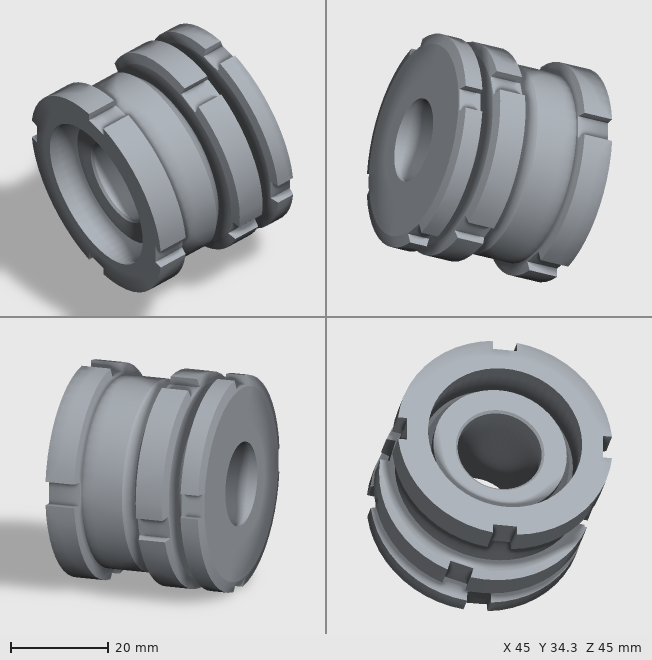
import cadquery as cq
import math


rim_radius = 22.5
slot_floor_radius = 20.45
slot_width = 5.0
slot_count = 4
rim_bevel_angle = 15.0
bevel_inner_radius = 20.25
total_length = 34.3
thread_radius = 15.0

sleeve_length = 18.0
sleeve_flange_length = 7.0
sleeve_radius = 20.0
sleeve_end_chamfer = 2.02
recess_radius = 16.1
recess_depth = 10.0
thread_mouth_chamfer = 0.25

nut_start = 19.45
nut_length = 7.0
nut_turn = 14.9

screw_start = 5.45
screw_head_length = 5.05
screw_turn = -0.75
screw_tip_chamfer = 1.05
screw_tip_length = 2.0
neck_radius = 13.75
neck_length = 1.15
neck_cone_radius = 14.1
neck_cone_length = 0.5
bore_radius = 8.75
bore_chamfer = 0.5


def revolve_about_y(profile):
    """Revolve a closed outline of (radius, y) points about the Y axis."""
    return cq.Workplane("XY").polyline(profile).close().revolve(360, (0, 0), (0, 1))


def bevel_height(inner_radius):
    """Axial height of a rim bevel that runs from inner_radius out to the rim."""
    return (rim_radius - inner_radius) * math.tan(math.radians(rim_bevel_angle))


def cut_rim_slots(body, start, length, turn):
    """Cut the evenly spaced spanner slots through a rim that begins at y = start."""
    slot_height = 2 * (rim_radius - slot_floor_radius)
    for index in range(slot_count):
        slot = (
            cq.Workplane("XY")
            .box(slot_width, length, slot_height, centered=(True, False, False))
            .translate((0, start, slot_floor_radius))
            .rotate((0, 0, 0), (0, 1, 0), turn + index * 360 / slot_count)
        )
        body = body.cut(slot)
    return body


def make_sleeve():
    """Flanged sleeve with a front recess and a threaded hole for the screw."""
    bevel = bevel_height(sleeve_radius)
    body = revolve_about_y([
        (recess_radius, 0),
        (rim_radius, 0),
        (rim_radius, sleeve_flange_length - bevel),
        (sleeve_radius, sleeve_flange_length),
        (sleeve_radius, sleeve_length - sleeve_end_chamfer),
        (sleeve_radius - sleeve_end_chamfer, sleeve_length),
        (thread_radius, sleeve_length),
        (thread_radius, recess_depth + thread_mouth_chamfer),
        (thread_radius + thread_mouth_chamfer, recess_depth),
        (recess_radius, recess_depth),
    ])
    return cut_rim_slots(body, 0, sleeve_flange_length, 0)


def make_lock_nut():
    """Slotted ring nut, bevelled on both faces, on the screw's thread."""
    bevel = bevel_height(bevel_inner_radius)
    nut_end = nut_start + nut_length
    body = revolve_about_y([
        (thread_radius, nut_start),
        (bevel_inner_radius, nut_start),
        (rim_radius, nut_start + bevel),
        (rim_radius, nut_end - bevel),
        (bevel_inner_radius, nut_end),
        (thread_radius, nut_end),
    ])
    return cut_rim_slots(body, nut_start, nut_length, nut_turn)


def make_hollow_screw():
    """Hollow screw with a plain tip, an undercut neck, a slotted head and a through bore."""
    bevel = bevel_height(bevel_inner_radius)
    head_start = total_length - screw_head_length
    neck_start = head_start - neck_length
    cone_start = neck_start - neck_cone_length
    thread_end = cone_start - (thread_radius - neck_cone_radius)
    body = revolve_about_y([
        (bore_radius + bore_chamfer, screw_start),
        (thread_radius - screw_tip_chamfer, screw_start),
        (thread_radius - screw_tip_chamfer, screw_start + screw_tip_length),
        (thread_radius, screw_start + screw_tip_length + screw_tip_chamfer),
        (thread_radius, thread_end),
        (neck_cone_radius, cone_start),
        (neck_radius, neck_start),
        (neck_radius, head_start),
        (bevel_inner_radius, head_start),
        (rim_radius, head_start + bevel),
        (rim_radius, total_length - bevel),
        (bevel_inner_radius, total_length),
        (bore_radius, total_length),
        (bore_radius, screw_start + bore_chamfer),
    ])
    return cut_rim_slots(body, head_start, screw_head_length, screw_turn)


sleeve = make_sleeve()
lock_nut = make_lock_nut()
hollow_screw = make_hollow_screw()

result = cq.Compound.makeCompound([sleeve.val(), lock_nut.val(), hollow_screw.val()])